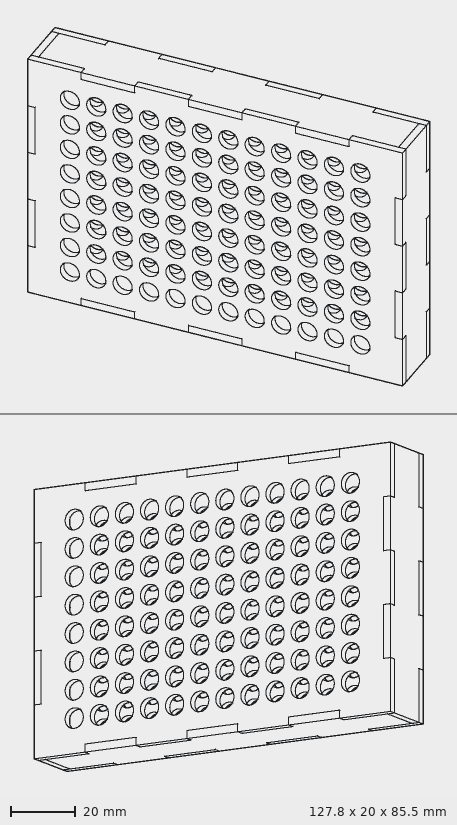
import cadquery as cq

length = 127.8
depth = 20.0
height = 85.5
wall = 2.5

length_segments = 7
height_segments = 5
finger_x = length / length_segments
finger_z = height / height_segments

hole_diameter = 6.5
columns = 12
rows = 8
row_margin = 11.2
hole_pitch = (height - 2 * row_margin) / (rows - 1)

x_offset = (length - wall) / 2
y_offset = (depth - wall) / 2
z_offset = (height - wall) / 2

finger_xs = [(i + 0.5) * finger_x - length / 2 for i in range(1, length_segments, 2)]
finger_zs = [(i + 0.5) * finger_z - height / 2 for i in range(1, height_segments, 2)]


def make_block(x_size, y_size, z_size, x, z):
    """Block centred on Y, with its middle at the given X and Z."""
    return cq.Workplane("XY").box(x_size, y_size, z_size).translate((x, 0, z))


def make_grid_panel(y):
    """Front or back panel: edge notches for the fingers of the frame, and a hole grid."""
    panel = make_block(length, wall, height, 0, 0)
    for side in (-1, 1):
        for x in finger_xs:
            panel = panel.cut(make_block(finger_x, wall, wall, x, side * z_offset))
        for z in finger_zs:
            panel = panel.cut(make_block(wall, wall, finger_z, side * x_offset, z))
    holes = (
        cq.Workplane("XZ", origin=(0, wall / 2, 0))
        .rarray(hole_pitch, hole_pitch, columns, rows)
        .circle(hole_diameter / 2)
        .extrude(wall)
    )
    return panel.cut(holes).translate((0, y, 0))


def make_long_panel(z):
    """Top or bottom panel: fits between the end panels, fingers reach front and back."""
    panel = make_block(length - 2 * wall, depth - 2 * wall, wall, 0, z)
    for x in finger_xs:
        panel = panel.union(make_block(finger_x, depth, wall, x, z))
    return panel


def make_end_panel(x):
    """End panel: full height, fingers reach front and back."""
    panel = make_block(wall, depth - 2 * wall, height, x, 0)
    for z in finger_zs:
        panel = panel.union(make_block(wall, depth, finger_z, x, z))
    return panel


grid_panels = [make_grid_panel(side * y_offset) for side in (-1, 1)]
long_panels = [make_long_panel(side * z_offset) for side in (-1, 1)]
end_panels = [make_end_panel(side * x_offset) for side in (-1, 1)]

result = cq.Compound.makeCompound(
    [panel.val() for panel in grid_panels + long_panels + end_panels]
)